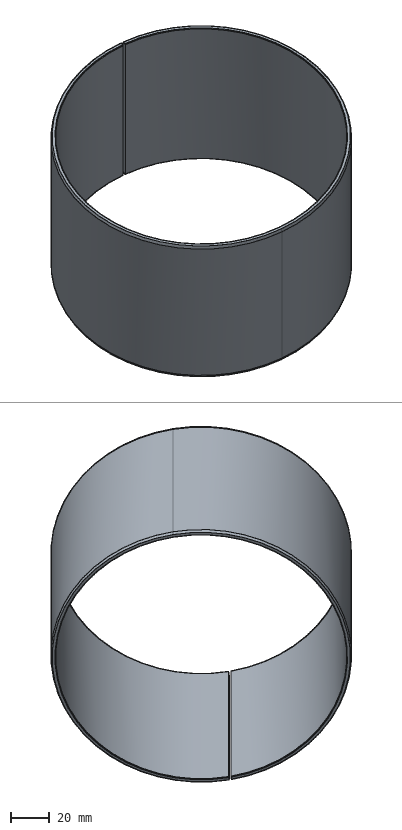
import cadquery as cq

outer_diameter = 155.0
wall = 2.5
length = 100.0
gap_width = 1.2

outer_chamfer_length = 1.7
outer_chamfer_depth = 0.6
inner_chamfer = 0.39

outer_radius = outer_diameter / 2
inner_radius = outer_radius - wall
half_length = length / 2


def make_sleeve():
    """Revolve the chamfered wall section around Z."""
    section = [
        (inner_radius, -half_length + inner_chamfer),
        (inner_radius + inner_chamfer, -half_length),
        (outer_radius - outer_chamfer_depth, -half_length),
        (outer_radius, -half_length + outer_chamfer_length),
        (outer_radius, half_length - outer_chamfer_length),
        (outer_radius - outer_chamfer_depth, half_length),
        (inner_radius + inner_chamfer, half_length),
        (inner_radius, half_length - inner_chamfer),
    ]
    return cq.Workplane("XZ").polyline(section).close().revolve(360, (0, 0, 0), (0, 1, 0))


def make_gap():
    """Full-length cutter for the split through the wall on the -X side, with one face on the XZ plane."""
    cutter = cq.Workplane("XY").box(outer_radius, gap_width, length)
    return cutter.translate((-outer_radius, gap_width / 2, 0))


result = make_sleeve().cut(make_gap())